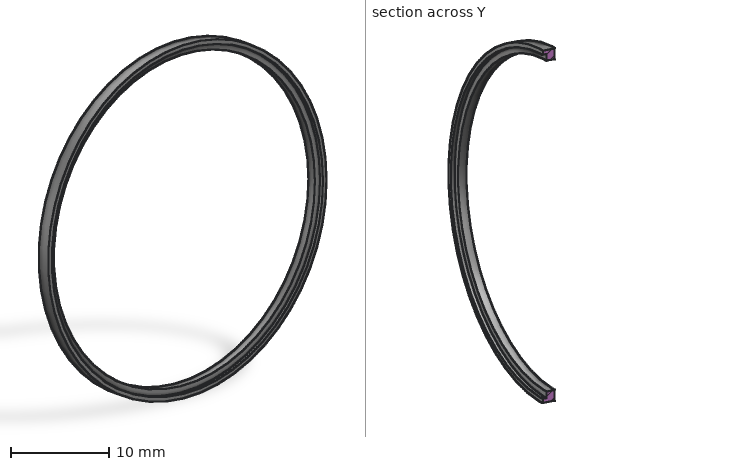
import cadquery as cq

outer_diameter = 38.0
lip_diameter = 35.6
recess_diameter = 37.0
width = 1.45
lip_width = 1.0

left_face = -width / 2
lip_end = left_face + lip_width
recess_depth = width - lip_width


def ring():
    """Plain ring bored to the lip diameter."""
    return (
        cq.Workplane("YZ", origin=(left_face, 0, 0))
        .circle(outer_diameter / 2)
        .circle(lip_diameter / 2)
        .extrude(width)
    )


def recess():
    """Disc that widens the bore from the lip to the +X face."""
    return (
        cq.Workplane("YZ", origin=(lip_end, 0, 0))
        .circle(recess_diameter / 2)
        .extrude(recess_depth)
    )


result = ring().cut(recess())